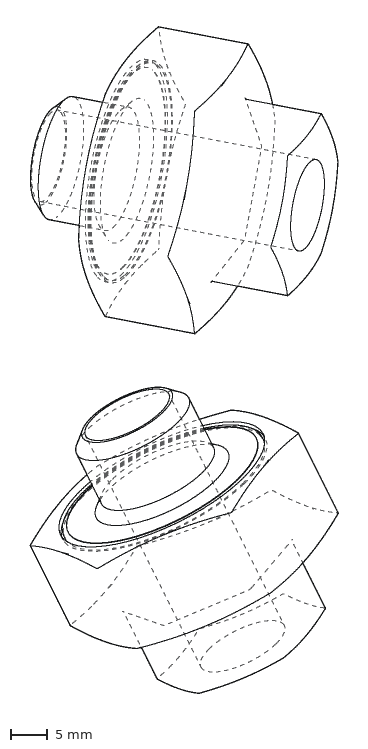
import cadquery as cq
import math


TUBE_CONE_START = 10.0
NUT_START = 11.4
NUT_END = 26.15
TOTAL_LENGTH = 38.0

NUT_FLATS = 35.0
END_FLATS = 22.0
CORNER_ROUND = 0.302
NUT_CHAMFER_ANGLE = 17.0
END_CHAMFER_ANGLE = 15.0
END_BASE_FILLET = 0.5

TUBE_RADIUS = 8.6
BORE_RADIUS = 6.37
BEVEL_LENGTH = 1.8
BEVEL_END_RADIUS = 6.85

MOUTH_RADIUS = 15.5
MOUTH_DEPTH = 0.73
COLLAR_RADIUS = 15.15
COLLAR_ROUND = 0.3
RAISED_FACE_RADIUS = 14.4
RAISED_FACE_RECESS = 0.1
RAISED_FACE_HEIGHT = 0.1


def revolved(profile):
    """Solid of revolution about X from an open half profile that ends on the axis."""
    return profile.close().revolve(360, (0, 0, 0), (1, 0, 0))


def hexagon(flats, start, end):
    """Hexagonal bar along X with slightly rounded long edges."""
    corner_diameter = flats / math.cos(math.radians(30))
    bar = cq.Workplane("YZ", origin=(start, 0, 0)).polygon(6, corner_diameter).extrude(end - start)
    return bar.edges("|X").fillet(CORNER_ROUND)


def chamfer_cone(flats, angle, face, inward):
    """Solid of revolution that trims hexagon corners back from a face; inward is +1 or -1 along X."""
    face_radius = flats / 2
    rim_radius = flats
    rim_depth = (rim_radius - face_radius) * math.tan(math.radians(angle))
    far = face + inward * TOTAL_LENGTH
    profile = [
        (face, 0),
        (face, face_radius),
        (face + inward * rim_depth, rim_radius),
        (far, rim_radius),
        (far, 0),
    ]
    return revolved(cq.Workplane("XY").polyline(profile))


def make_nut():
    nut = hexagon(NUT_FLATS, NUT_START, NUT_END)
    nut = nut.intersect(chamfer_cone(NUT_FLATS, NUT_CHAMFER_ANGLE, NUT_START, 1))
    nut = nut.intersect(chamfer_cone(NUT_FLATS, NUT_CHAMFER_ANGLE, NUT_END, -1))
    mouth = cq.Workplane("YZ", origin=(NUT_START, 0, 0)).circle(MOUTH_RADIUS).extrude(MOUTH_DEPTH)
    return nut.cut(mouth)


def make_end_hexagon():
    end = hexagon(END_FLATS, NUT_END, TOTAL_LENGTH)
    return end.intersect(chamfer_cone(END_FLATS, END_CHAMFER_ANGLE, TOTAL_LENGTH, -1))


def make_tube_and_collar():
    raised_face = NUT_START + RAISED_FACE_RECESS
    collar_face = raised_face + RAISED_FACE_HEIGHT
    cone_end_radius = TUBE_RADIUS + raised_face - TUBE_CONE_START
    collar_back = NUT_START + MOUTH_DEPTH
    profile = (
        cq.Workplane("XY")
        .moveTo(0, 0)
        .lineTo(0, BEVEL_END_RADIUS)
        .lineTo(BEVEL_LENGTH, TUBE_RADIUS)
        .lineTo(TUBE_CONE_START, TUBE_RADIUS)
        .lineTo(raised_face, cone_end_radius)
        .lineTo(raised_face, RAISED_FACE_RADIUS)
        .lineTo(collar_face, RAISED_FACE_RADIUS)
        .lineTo(collar_face, COLLAR_RADIUS - COLLAR_ROUND)
        .radiusArc((collar_face + COLLAR_ROUND, COLLAR_RADIUS), COLLAR_ROUND)
        .lineTo(collar_back, COLLAR_RADIUS)
        .lineTo(collar_back, 0)
    )
    return revolved(profile)


def fillet_end_base(body):
    """Concave fillet where the end hexagon meets the nut face."""
    reach = END_FLATS / math.sqrt(3)
    tolerance = 0.05
    search_box = cq.selectors.BoxSelector(
        (NUT_END - tolerance, -reach, -reach),
        (NUT_END + tolerance, reach, reach),
    )
    return body.edges(search_box).fillet(END_BASE_FILLET)


body = make_nut().union(make_end_hexagon())
body = fillet_end_base(body)
body = body.union(make_tube_and_collar())
bore = cq.Workplane("YZ").circle(BORE_RADIUS).extrude(TOTAL_LENGTH)
result = body.cut(bore)